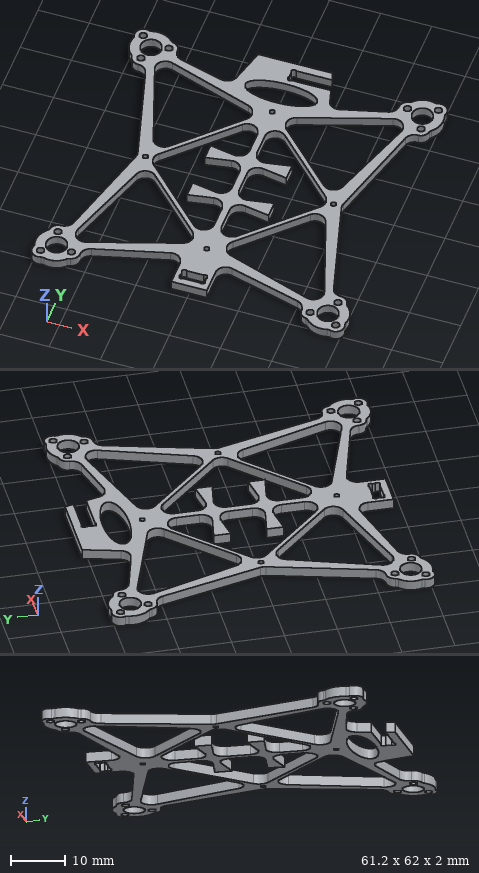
import cadquery as cq
import math

thickness = 2.0
overall_length = 62.0
overall_width = 61.23

motor_diagonal = 75.0
motor_offset = motor_diagonal / 2 / math.sqrt(2)
hub_radius = overall_width / 2 - motor_offset
shaft_hole_diameter = 4.0
bolt_circle_radius = 3.3
bolt_hole_diameter = 1.4
lobe_radius = 1.7
bolt_count = 3
bolt_pitch_angle = 360 / bolt_count
diagonal_angle = 45.0
hub_fillet = 1.0

waist = 19.95
arm_angle = 15.2
window_waist = 16.9
window_angle = 18.4
fillet_radius = 2.0

board_pitch = 26.0
board_hole_offset = board_pitch / math.sqrt(2)
board_hole_diameter = 1.0
strut_width = 1.0
strut_half_axis = strut_width / math.sqrt(2)

spine_width = 1.5
wing_span = 16.0
wing_offset = 5.0
wing_tip_width = 3.3
wing_root_width = 0.5

rear_tab_width = 7.0
rear_tab_end = -28.4
slot_width = 4.7
slot_height = 2.0
slot_centre_y = -25.9
relief_radius = 0.5

front_tab_end = overall_length - overall_width / 2
front_tab_end_width = 14.6
front_tab_angle = 15.0
notch_left = 0.05
notch_bottom = 27.15
notch_top = 29.65
oval_centre_y = 23.4
oval_half_width = 7.0
oval_half_height = 2.5

QUADRANTS = [(1, 1), (-1, 1), (-1, -1), (1, -1)]
arm_slope = math.tan(math.radians(arm_angle))
tab_slope = math.tan(math.radians(front_tab_angle))


def plate(points):
    """Full-thickness plate with a straight-sided outline."""
    return cq.Workplane("XY").polyline(points).close().extrude(thickness)


def discs(points, radius):
    """Full-thickness discs at the given centres."""
    return cq.Workplane("XY").pushPoints(points).circle(radius).extrude(thickness)


def fillet_corners(body, points, radius):
    """Round the upright edges standing at the given points."""
    for x, y in points:
        corner = cq.selectors.NearestToPointSelector((x, y, thickness / 2))
        body = body.edges("|Z").edges(corner).fillet(radius)
    return body


def both_sides(points):
    """The given points together with their mirror images across the Y axis."""
    return points + [(-x, y) for x, y in points]


def all_quadrants(x, y):
    return [(sx * x, sy * y) for sx, sy in QUADRANTS]


def bolt_points():
    """Bolt centres of the mount in the +X +Y quadrant; the first points outwards."""
    points = []
    for i in range(bolt_count):
        angle = math.radians(diagonal_angle + i * bolt_pitch_angle)
        x = motor_offset + bolt_circle_radius * math.cos(angle)
        y = motor_offset + bolt_circle_radius * math.sin(angle)
        points.append((x, y))
    return points


def hub_lobe_corners():
    """Points where the lobe circles cross the hub circle, outside the arm."""
    squares = bolt_circle_radius**2 + hub_radius**2 - lobe_radius**2
    cosine = squares / (2 * bolt_circle_radius * hub_radius)
    spread = math.degrees(math.acos(cosine))
    points = []
    for offset in (spread, bolt_pitch_angle - spread, -spread, spread - bolt_pitch_angle):
        angle = math.radians(diagonal_angle + offset)
        x = motor_offset + hub_radius * math.cos(angle)
        y = motor_offset + hub_radius * math.sin(angle)
        points.append((x, y))
    return points


def arm_lobe_corner():
    """Point where the arm's upper outer edge meets the lobe beside it."""
    bolt_x, bolt_y = bolt_points()[1]
    angle = math.radians(arm_angle)
    height = (bolt_y - waist - bolt_x * arm_slope) * math.cos(angle)
    foot_x = bolt_x + height * math.sin(angle)
    half_chord = math.sqrt(lobe_radius**2 - height**2)
    x = foot_x - half_chord * math.cos(angle)
    return x, waist + x * arm_slope


def make_frame():
    """Solid star of four arms with a mount at each tip."""
    outline = []
    tip = waist / (1 - arm_slope)
    waists = [(0, waist), (-waist, 0), (0, -waist), (waist, 0)]
    for (sx, sy), waist_point in zip(QUADRANTS, waists):
        outline.append((sx * tip, sy * tip))
        outline.append(waist_point)
    frame = plate(outline)
    frame = frame.union(discs(all_quadrants(motor_offset, motor_offset), hub_radius))
    for x, y in bolt_points():
        frame = frame.union(discs(all_quadrants(x, y), lobe_radius))
    arm_x, arm_y = arm_lobe_corner()
    for x, y in hub_lobe_corners():
        frame = fillet_corners(frame, all_quadrants(x, y), hub_fillet)
    for x, y in ((arm_x, arm_y), (arm_y, arm_x)):
        frame = fillet_corners(frame, all_quadrants(x, y), fillet_radius)
    return fillet_corners(frame, both_sides([(waist, 0)]), fillet_radius)


def add_rear_tab(body):
    half = rear_tab_width / 2
    tab = plate([(-half, 0), (half, 0), (half, rear_tab_end), (-half, rear_tab_end)])
    root = (half, -(waist + half * arm_slope))
    return fillet_corners(body.union(tab), both_sides([root]), fillet_radius)


def add_front_tab(body):
    half_end = front_tab_end_width / 2
    root_x = (half_end + (front_tab_end - waist) * tab_slope) / (1 + arm_slope * tab_slope)
    root = (root_x, waist + root_x * arm_slope)
    right = [(half_end, front_tab_end), root]
    left = [(-root[0], root[1]), (-half_end, front_tab_end)]
    body = body.union(plate(right + [(0, 0)] + left))
    return fillet_corners(body, both_sides([root]), fillet_radius)


def arm_windows():
    """Triangular openings of the four arms."""
    slope = math.tan(math.radians(window_angle))
    strut = board_hole_offset + strut_half_axis
    tip = window_waist / (1 - slope)
    near = (strut - window_waist) / (1 + slope)
    corners = [(tip, tip), (near, strut - near), (strut - near, near)]
    window = fillet_corners(plate(corners), corners, fillet_radius)
    window = window.union(window.mirror("YZ"))
    return window.union(window.mirror("XZ"))


def central_opening():
    """Square opening on its corner, around the spine and its two pairs of wings."""
    reach = board_hole_offset - strut_half_axis
    opening = plate([(reach, 0), (0, reach), (-reach, 0), (0, -reach)])
    half_spine = spine_width / 2
    spine = cq.Workplane("XY").box(spine_width, 2 * reach, thickness, centered=(True, True, False))
    opening = opening.cut(spine)
    half_span = wing_span / 2
    half_tip = wing_tip_width / 2
    half_root = wing_root_width / 2
    half_joint = half_root + (half_tip - half_root) * half_spine / half_span
    corners = [(reach, 0), (half_spine, reach - half_spine), (half_spine, half_spine - reach)]
    for centre_y in (wing_offset, -wing_offset):
        right = [(half_span, centre_y - half_tip), (half_span, centre_y + half_tip)]
        left = [(-half_span, centre_y + half_tip), (-half_span, centre_y - half_tip)]
        wings = plate(right + [(0, centre_y + half_root)] + left + [(0, centre_y - half_root)])
        opening = opening.cut(wings)
        corners += [(half_spine, centre_y + half_joint), (half_spine, centre_y - half_joint)]
    return fillet_corners(opening, both_sides(corners), fillet_radius)


def strap_slot():
    """Rectangular slot with a round relief through each corner."""
    inset = relief_radius / math.sqrt(2)
    slot = cq.Workplane("XY").box(slot_width, slot_height, thickness, centered=(True, True, False))
    reliefs = all_quadrants(slot_width / 2 - inset, slot_height / 2 - inset)
    slot = slot.union(discs(reliefs, relief_radius))
    return slot.translate((0, slot_centre_y, 0))


def side_notch():
    """Notch open to +X with a round relief through each inner corner."""
    inset = relief_radius / math.sqrt(2)
    mouth = front_tab_end_width
    lower = [(notch_left, notch_bottom), (mouth, notch_bottom)]
    upper = [(mouth, notch_top), (notch_left, notch_top)]
    notch = plate(lower + upper)
    reliefs = [(notch_left + inset, notch_bottom + inset), (notch_left + inset, notch_top - inset)]
    return notch.union(discs(reliefs, relief_radius))


def oval_window():
    oval = cq.Workplane("XY").ellipse(oval_half_width, oval_half_height).extrude(thickness)
    return oval.translate((0, oval_centre_y, 0))


def drill_holes(body):
    board_holes = []
    for offset in (board_hole_offset, -board_hole_offset):
        board_holes += [(offset, 0), (0, offset)]
    body = body.cut(discs(board_holes, board_hole_diameter / 2))
    body = body.cut(discs(all_quadrants(motor_offset, motor_offset), shaft_hole_diameter / 2))
    for x, y in bolt_points():
        body = body.cut(discs(all_quadrants(x, y), bolt_hole_diameter / 2))
    return body


frame = add_front_tab(add_rear_tab(make_frame()))
for opening in (arm_windows(), central_opening(), strap_slot(), side_notch(), oval_window()):
    frame = frame.cut(opening)
result = drill_holes(frame)